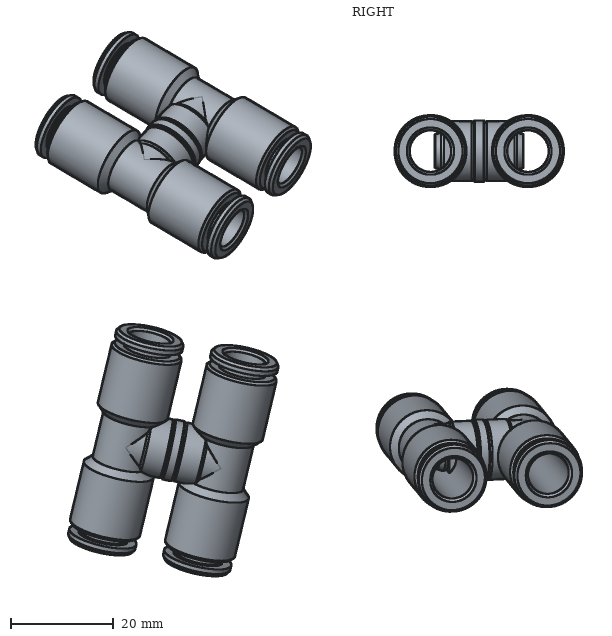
import cadquery as cq

OVERALL_LENGTH = 43.4
TUBE_SPACING = 18.95
SOCKET_RADIUS = 14.0 / 2
SOCKET_END_X = 18.7
SOCKET_END_CHAMFER = 0.5
SOCKET_INNER_X = 6.1
WAIST_RADIUS = 5.55
WAIST_HALF_LENGTH = SOCKET_INNER_X - (SOCKET_RADIUS - WAIST_RADIUS)

COLLAR_RADIUS = 6.73
COLLAR_THICKNESS = 1.6
COLLAR_CHAMFER_LENGTH = 0.65
COLLAR_CHAMFER_DEPTH = 0.48
COLLAR_NECK_RADIUS = 4.65
COLLAR_ROOT_CHAMFER = 0.2

BORE_RADIUS = 4.05
BORE_MOUTH_RADIUS = 4.6
BORE_MOUTH_DEPTH = BORE_MOUTH_RADIUS - BORE_RADIUS

BRANCH_RADIUS = 5.85
BRANCH_STEP_INNER_Y = 5.45
BRANCH_STEP_OUTER_Y = 5.95
BRANCH_END_CHAMFER = 0.45
GROOVE_RADIUS = BRANCH_RADIUS - BRANCH_END_CHAMFER
BAND_RADIUS = 6.0
BAND_HALF_WIDTH = 1.05
BAND_CHAMFER = 0.2

WALL_OFFSET = 2.6
STEM_RADIUS = 3.7
STEM_TAPER_OFFSET = 2.1
STEM_TIP_RADIUS = 3.3
STEM_TIP_OFFSET = 0.82
STEM_TIP_CHAMFER = 0.15

TUBE_Y = TUBE_SPACING / 2
END_X = OVERALL_LENGTH / 2


def revolve_mirrored(half_outline, axis):
    """Solid of revolution from (position, radius) points running from the mid-plane outwards."""
    outline = [(-position, radius) for position, radius in reversed(half_outline)] + half_outline
    outline = [(outline[0][0], 0)] + outline + [(outline[-1][0], 0)]
    if axis == "X":
        return cq.Workplane("XY").polyline(outline).close().revolve(360, (0, 0, 0), (1, 0, 0))
    swapped = [(radius, position) for position, radius in outline]
    return cq.Workplane("XY").polyline(swapped).close().revolve(360, (0, 0, 0), (0, 1, 0))


def run_tube():
    collar_inner_x = END_X - COLLAR_THICKNESS
    return revolve_mirrored(
        [
            (WAIST_HALF_LENGTH, WAIST_RADIUS),
            (SOCKET_INNER_X, SOCKET_RADIUS),
            (SOCKET_END_X - SOCKET_END_CHAMFER, SOCKET_RADIUS),
            (SOCKET_END_X, SOCKET_RADIUS - SOCKET_END_CHAMFER),
            (SOCKET_END_X, COLLAR_NECK_RADIUS),
            (collar_inner_x - COLLAR_ROOT_CHAMFER, COLLAR_NECK_RADIUS),
            (collar_inner_x, COLLAR_NECK_RADIUS + COLLAR_ROOT_CHAMFER),
            (collar_inner_x, COLLAR_RADIUS),
            (END_X - COLLAR_CHAMFER_LENGTH, COLLAR_RADIUS),
            (END_X, COLLAR_RADIUS - COLLAR_CHAMFER_DEPTH),
        ],
        "X",
    )


def branch():
    return revolve_mirrored(
        [
            (BAND_HALF_WIDTH - BAND_CHAMFER, BAND_RADIUS),
            (BAND_HALF_WIDTH, BAND_RADIUS - BAND_CHAMFER),
            (BAND_HALF_WIDTH, GROOVE_RADIUS),
            (BAND_HALF_WIDTH + BRANCH_END_CHAMFER, BRANCH_RADIUS),
            (BRANCH_STEP_INNER_Y, BRANCH_RADIUS),
            (BRANCH_STEP_OUTER_Y, WAIST_RADIUS),
            (TUBE_Y, WAIST_RADIUS),
        ],
        "Y",
    )


def bore():
    return revolve_mirrored(
        [
            (END_X - BORE_MOUTH_DEPTH, BORE_RADIUS),
            (END_X, BORE_MOUTH_RADIUS),
        ],
        "X",
    )


def branch_wall():
    """Block across the waist that closes the branch side of both bores."""
    return cq.Workplane("XY").box(
        2 * WAIST_HALF_LENGTH, 2 * (TUBE_Y - WALL_OFFSET), 2 * BORE_RADIUS
    )


def branch_stem():
    return revolve_mirrored(
        [
            (TUBE_Y - STEM_TAPER_OFFSET, STEM_RADIUS),
            (TUBE_Y - STEM_TIP_OFFSET - STEM_TIP_CHAMFER, STEM_TIP_RADIUS),
            (TUBE_Y - STEM_TIP_OFFSET, STEM_TIP_RADIUS - STEM_TIP_CHAMFER),
        ],
        "Y",
    )


body = branch()
for tube_y in (-TUBE_Y, TUBE_Y):
    body = body.union(run_tube().translate((0, tube_y, 0)))

passages = bore().translate((0, -TUBE_Y, 0)).union(bore().translate((0, TUBE_Y, 0)))
passages = passages.cut(branch_wall()).cut(branch_stem())

result = body.cut(passages)